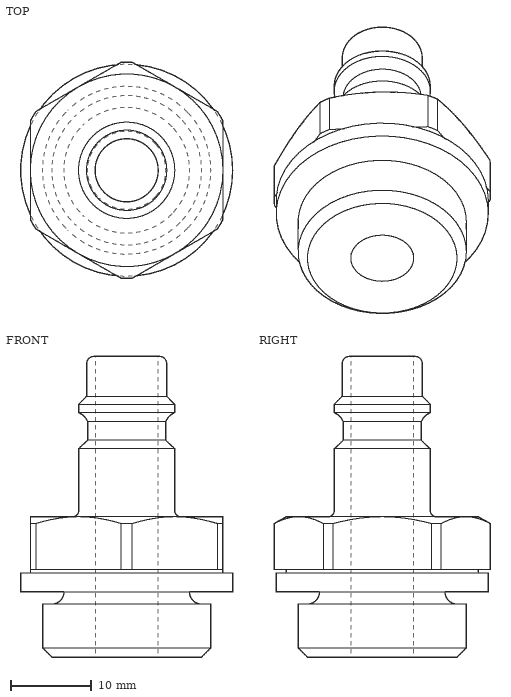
import cadquery as cq
import math

height = 37.5
bore_radius = 7.85 / 2

base_radius = 20.95 / 2
base_chamfer = 1.15
base_top = 6.65
neck_fillet = 1.5
neck_radius = 7.85

flange_radius = 26.45 / 2
flange_bottom = base_top + neck_fillet
flange_top = 10.5
ring_height = 0.4

hex_across_flats = 24.0
hex_corner_radius = 26.95 / 2
hex_bottom = flange_top + ring_height
hex_top = 17.5
hex_bevel_angle = 30.0

stem_radius = 6.0
stem_fillet = 0.75
stem_top = 26.0
groove_radius = 4.88
groove_bottom = 27.05
groove_top = 29.35
collar_bottom = 30.5
collar_top = 31.5
collar_hollow = 0.15
tip_radius = 10.0 / 2
tip_bottom = 32.5
tip_fillet = 0.95


def arc_middle(center_r, center_z, radius, angle):
    """Point on a profile arc at the given angle in degrees."""
    turn = math.radians(angle)
    return center_r + radius * math.cos(turn), center_z + radius * math.sin(turn)


def make_turned_body():
    """Revolved outer shape: base, neck, flange, core of the hexagon and stem."""
    core_radius = hex_across_flats / 2
    neck_arc_r = neck_radius + neck_fillet
    stem_arc_r = stem_radius + stem_fillet
    stem_arc_z = hex_top + stem_fillet
    tip_arc_r = tip_radius - tip_fillet
    tip_arc_z = height - tip_fillet
    profile = (
        cq.Workplane("XZ")
        .lineTo(base_radius - base_chamfer, 0)
        .lineTo(base_radius, base_chamfer)
        .lineTo(base_radius, base_top)
        .lineTo(neck_arc_r, base_top)
        .threePointArc(
            arc_middle(neck_arc_r, flange_bottom, neck_fillet, 225),
            (neck_radius, flange_bottom),
        )
        .lineTo(flange_radius, flange_bottom)
        .lineTo(flange_radius, flange_top)
        .lineTo(core_radius, flange_top)
        .lineTo(core_radius, hex_top)
        .lineTo(stem_arc_r, hex_top)
        .threePointArc(
            arc_middle(stem_arc_r, stem_arc_z, stem_fillet, 225),
            (stem_radius, stem_arc_z),
        )
        .lineTo(stem_radius, stem_top)
        .lineTo(groove_radius, groove_bottom)
        .lineTo(groove_radius, groove_top)
        .sagittaArc((stem_radius, collar_bottom), collar_hollow)
        .lineTo(stem_radius, collar_top)
        .lineTo(tip_radius, tip_bottom)
        .lineTo(tip_radius, tip_arc_z)
        .threePointArc(
            arc_middle(tip_arc_r, tip_arc_z, tip_fillet, 45),
            (tip_arc_r, height),
        )
        .lineTo(0, height)
        .close()
    )
    return profile.revolve(360, (0, 0, 0), (0, 1, 0))


def make_hexagon():
    """Hexagonal prism with corners along Y, trimmed by a bevelled cylinder."""
    flat_radius = hex_across_flats / 2
    bevel_drop = (hex_corner_radius - flat_radius) * math.tan(math.radians(hex_bevel_angle))
    across_corners = hex_across_flats / math.cos(math.pi / 6)
    prism = (
        cq.Workplane("XY")
        .workplane(offset=hex_bottom)
        .transformed(rotate=(0, 0, 90))
        .polygon(6, across_corners)
        .extrude(hex_top - hex_bottom)
    )
    envelope = (
        cq.Workplane("XZ")
        .moveTo(0, hex_bottom)
        .lineTo(hex_corner_radius, hex_bottom)
        .lineTo(hex_corner_radius, hex_top - bevel_drop)
        .lineTo(flat_radius, hex_top)
        .lineTo(0, hex_top)
        .close()
        .revolve(360, (0, 0, 0), (0, 1, 0))
    )
    return prism.intersect(envelope)


bore = cq.Workplane("XY").circle(bore_radius).extrude(height)
result = make_turned_body().union(make_hexagon()).cut(bore)